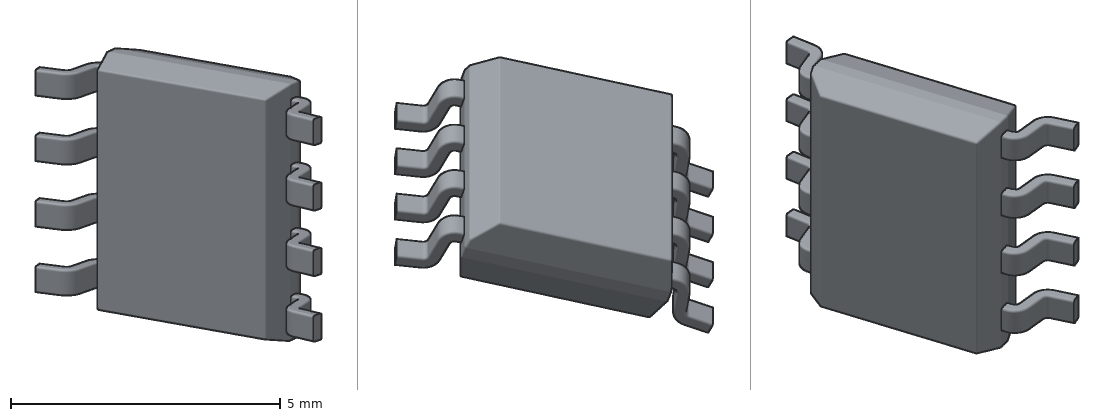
import cadquery as cq
import math

housing_width = 4.0
housing_height = 5.0
band_thickness = 0.25
half_depth = 0.625
draft_angle = 15
bevel_start = 1.505
housing_fillet = 0.05

leads_per_side = 4
lead_pitch = 1.27
lead_row_offset = 0.035
lead_width = 0.515
lead_thickness = band_thickness
lead_fillet = 0.05
lead_reach = 3.055
shoulder_length = 0.09
inner_bend_radius = 0.1
leg_length = 0.43
lead_tilt = 8

housing_side = housing_width / 2
back_y = band_thickness / 2 + half_depth


def tapered_half(direction):
    """One half of the housing; direction is +1 for the back half and -1 for the front half."""
    base = cq.Plane(
        origin=(0, direction * band_thickness / 2, 0), xDir=(1, 0, 0), normal=(0, direction, 0)
    )
    return cq.Workplane(base).rect(housing_width, housing_height).extrude(half_depth, taper=draft_angle)


def bevel_cutter():
    """Wedge that removes the +X edge of the back face at 45 degrees."""
    wedge_leg = half_depth
    return (
        cq.Workplane("XY")
        .moveTo(bevel_start, back_y)
        .lineTo(bevel_start + wedge_leg, back_y)
        .lineTo(bevel_start + wedge_leg, back_y - wedge_leg)
        .close()
        .extrude(housing_height / 2, both=True)
    )


def make_housing():
    band = cq.Workplane("XY").box(housing_width, band_thickness, housing_height)
    blank = band.union(tapered_half(1)).union(tapered_half(-1)).cut(bevel_cutter())
    tolerance = 0.0005
    rounded_edges = [
        edge
        for edge in blank.edges().vals()
        if abs(abs(edge.Center().y) - band_thickness / 2) > tolerance
    ]
    return blank.newObject(rounded_edges).fillet(housing_fillet)


def make_lead():
    """Gull-wing lead on the +X side at Z = 0: shoulder, bend, leg, bend, foot."""
    radius = inner_bend_radius + lead_thickness / 2
    tilt = math.radians(lead_tilt)
    leg_angle = math.pi / 2 - tilt
    foot_angle = tilt

    bend_x = housing_side + shoulder_length

    def upper_bend(angle):
        return (bend_x + radius * math.sin(angle), radius * (math.cos(angle) - 1))

    leg_top = upper_bend(leg_angle)
    leg_bottom = (
        leg_top[0] + leg_length * math.cos(leg_angle),
        leg_top[1] - leg_length * math.sin(leg_angle),
    )
    lower_center = (
        leg_bottom[0] + radius * math.sin(leg_angle),
        leg_bottom[1] + radius * math.cos(leg_angle),
    )

    def lower_bend(angle):
        return (lower_center[0] - radius * math.sin(angle), lower_center[1] - radius * math.cos(angle))

    foot_start = lower_bend(foot_angle)
    foot_end_x = lead_reach - lead_thickness / 2 * math.sin(foot_angle)
    foot_end_y = foot_start[1] - (foot_end_x - foot_start[0]) * math.tan(foot_angle)

    centre_line = (
        cq.Workplane("XY")
        .moveTo(housing_side, 0)
        .lineTo(bend_x, 0)
        .threePointArc(upper_bend(leg_angle / 2), leg_top)
        .lineTo(*leg_bottom)
        .threePointArc(lower_bend((leg_angle + foot_angle) / 2), foot_start)
        .lineTo(foot_end_x, foot_end_y)
    )
    section = cq.Sketch().rect(lead_thickness, lead_width).vertices().fillet(lead_fillet)
    return cq.Workplane("YZ", origin=(housing_side, 0, 0)).placeSketch(section).sweep(centre_line)


def make_leads():
    right_lead = make_lead()
    left_lead = right_lead.mirror("YZ")
    leads = []
    for index in range(leads_per_side):
        z = lead_row_offset + (index - (leads_per_side - 1) / 2) * lead_pitch
        leads.append(right_lead.translate((0, 0, z)).val())
        leads.append(left_lead.translate((0, 0, z)).val())
    return leads


housing = make_housing()
leads = make_leads()
result = cq.Compound.makeCompound([housing.val(), *leads])